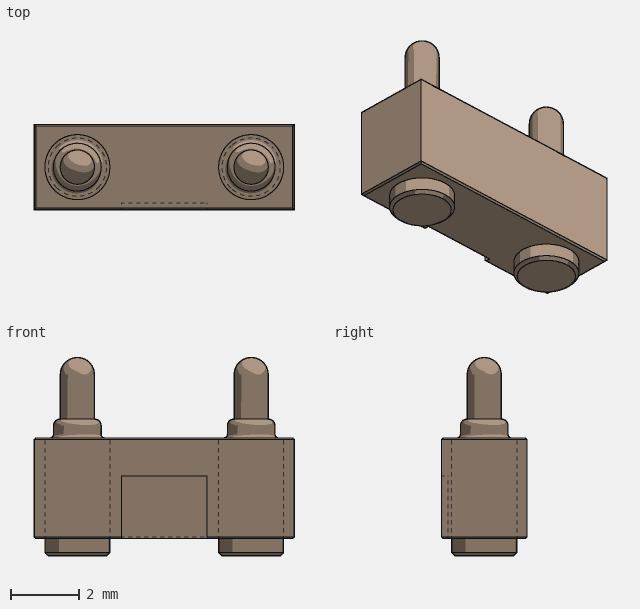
import cadquery as cq
import math

housing_length = 7.6
housing_width = 2.5
housing_height = 2.95
edge_chamfer = 0.05

recess_width = 2.5
recess_height = 1.84
recess_depth = 0.2

pin_spacing = 5.08
barrel_radius = 0.95
foot_height = 0.5
foot_chamfer = 0.1
collar_radius = 0.7
collar_height = 0.55
collar_root_fillet = 0.1
plunger_radius = 0.5
pin_rise = 2.35

collar_round = collar_radius - plunger_radius
pin_positions = [-pin_spacing / 2, pin_spacing / 2]


def arc_midpoint(center_r, center_z, radius, angle):
    """Point on an arc in the radius-height plane at the given angle in degrees."""
    turn = math.radians(angle)
    return center_r + radius * math.cos(turn), center_z + radius * math.sin(turn)


def make_housing():
    """Chamfered block with a front recess and a through bore for each pin."""
    block = (
        cq.Workplane("XY")
        .box(housing_length, housing_width, housing_height, centered=(True, True, False))
        .faces("<Z or >Z")
        .chamfer(edge_chamfer)
    )
    recess = (
        cq.Workplane("XY")
        .box(recess_width, recess_depth, recess_height, centered=(True, False, False))
        .translate((0, -housing_width / 2, 0))
    )
    bores = (
        cq.Workplane("XY")
        .pushPoints([(x, 0) for x in pin_positions])
        .circle(barrel_radius)
        .extrude(housing_height)
    )
    return block.cut(recess).cut(bores)


def make_pin(x):
    """Turned pin: chamfered foot, barrel flush with the housing top, collar and domed plunger."""
    root_r = collar_radius + collar_root_fillet
    root_z = housing_height + collar_root_fillet
    collar_top = housing_height + collar_height
    shoulder_z = collar_top - collar_round
    tip_z = housing_height + pin_rise
    dome_z = tip_z - plunger_radius
    profile = (
        cq.Workplane("XZ")
        .moveTo(0, -foot_height)
        .lineTo(barrel_radius - foot_chamfer, -foot_height)
        .lineTo(barrel_radius, -foot_height + foot_chamfer)
        .lineTo(barrel_radius, housing_height)
        .lineTo(root_r, housing_height)
        .threePointArc(arc_midpoint(root_r, root_z, collar_root_fillet, 225), (collar_radius, root_z))
        .lineTo(collar_radius, shoulder_z)
        .threePointArc(
            arc_midpoint(plunger_radius, shoulder_z, collar_round, 45), (plunger_radius, collar_top)
        )
        .lineTo(plunger_radius, dome_z)
        .threePointArc(arc_midpoint(0, dome_z, plunger_radius, 45), (0, tip_z))
        .close()
    )
    return profile.revolve(360, (0, 0, 0), (0, 1, 0)).translate((x, 0, 0))


housing = make_housing()
pins = [make_pin(x) for x in pin_positions]

result = cq.Compound.makeCompound([housing.val(), *[pin.val() for pin in pins]])